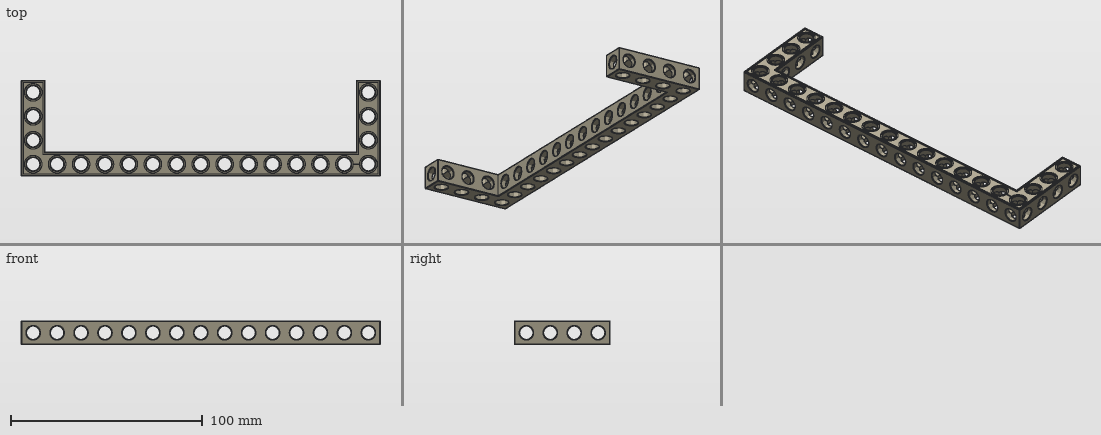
import cadquery as cq

LENGTH = 187.5
RAIL_HOLES = 15
ARM_HOLES = 4
PITCH = LENGTH / RAIL_HOLES
BEAM = PITCH
DEPTH = ARM_HOLES * PITCH

EDGE_CHAMFER = 0.34
HOLE_CHAMFER = EDGE_CHAMFER
HOLE_DIAMETER = 7.0

PANEL_DEPTH = 0.2
HOLE_RIM_DIAMETER = 9.2
EDGE_RIM = (HOLE_RIM_DIAMETER - HOLE_DIAMETER) / 2
RIB_WIDTH = 0.2

RAIL_CENTERS = [(i + 0.5) * PITCH for i in range(RAIL_HOLES)]
ARM_CENTERS = [(i + 0.5) * PITCH for i in range(ARM_HOLES)]
RAIL_Y = ARM_CENTERS[0]
LEFT_ARM_X = RAIL_CENTERS[0]
RIGHT_ARM_X = RAIL_CENTERS[-1]

VERTICAL_HOLES = [(x, RAIL_Y) for x in RAIL_CENTERS]
for arm_x in (LEFT_ARM_X, RIGHT_ARM_X):
    VERTICAL_HOLES += [(arm_x, y) for y in ARM_CENTERS[1:]]


def make_u(inset, height):
    """U-shaped slab whose outline lies inside the beam outline by the inset."""
    inner_side = BEAM - inset
    outer = (
        cq.Workplane("XY")
        .box(LENGTH - 2 * inset, DEPTH - 2 * inset, height, centered=False)
        .translate((inset, inset, 0))
    )
    opening = (
        cq.Workplane("XY")
        .box(LENGTH - 2 * inner_side, DEPTH, height, centered=False)
        .translate((inner_side, inner_side, 0))
    )
    return outer.cut(opening)


def make_beam():
    """U beam with every edge chamfered except the two upright inside corners."""
    return make_u(0, BEAM).edges("|X or |Y or (|Z and (<Y or >Y))").chamfer(EDGE_CHAMFER)


def make_panel():
    """Recess volume for the top face, interrupted by hole rims and one thin rib."""
    hole_rims = (
        cq.Workplane("XY")
        .pushPoints(VERTICAL_HOLES)
        .circle(HOLE_RIM_DIAMETER / 2)
        .extrude(PANEL_DEPTH)
    )
    rib = (
        cq.Workplane("XY")
        .box(PITCH, RIB_WIDTH, PANEL_DEPTH, centered=(True, True, False))
        .translate((RIGHT_ARM_X - PITCH / 2, RAIL_Y, 0))
    )
    panel = make_u(EDGE_RIM, PANEL_DEPTH).cut(hole_rims).cut(rib)
    return panel.translate((0, 0, BEAM - PANEL_DEPTH))


def make_bore(length):
    """Hole volume along +Z from the origin, widened by a chamfer at both ends."""
    radius = HOLE_DIAMETER / 2
    mouth_radius = radius + HOLE_CHAMFER
    return (
        cq.Workplane("XZ")
        .moveTo(0, 0)
        .lineTo(mouth_radius, 0)
        .lineTo(radius, HOLE_CHAMFER)
        .lineTo(radius, length - HOLE_CHAMFER)
        .lineTo(mouth_radius, length)
        .lineTo(0, length)
        .close()
        .revolve(360, (0, 0, 0), (0, 1, 0))
    )


def make_bore_along_x(x, y, length):
    """Mid-height bore running toward +X from the given point."""
    bore = make_bore(length).rotate((0, 0, 0), (0, 1, 0), 90)
    return bore.translate((x, y, BEAM / 2))


def make_bore_along_y(x, length):
    """Mid-height bore running toward +Y from the front face."""
    bore = make_bore(length).rotate((0, 0, 0), (1, 0, 0), -90)
    return bore.translate((x, 0, BEAM / 2))


result = make_beam().cut(make_panel())

for x, y in VERTICAL_HOLES:
    result = result.cut(make_bore(BEAM).translate((x, y, 0)))

for x in RAIL_CENTERS[1:-1]:
    result = result.cut(make_bore_along_y(x, BEAM))
for x in (LEFT_ARM_X, RIGHT_ARM_X):
    result = result.cut(make_bore_along_y(x, DEPTH))

for y in ARM_CENTERS[1:]:
    for arm_start in (0, LENGTH - BEAM):
        result = result.cut(make_bore_along_x(arm_start, y, BEAM))
result = result.cut(make_bore_along_x(0, RAIL_Y, LENGTH))